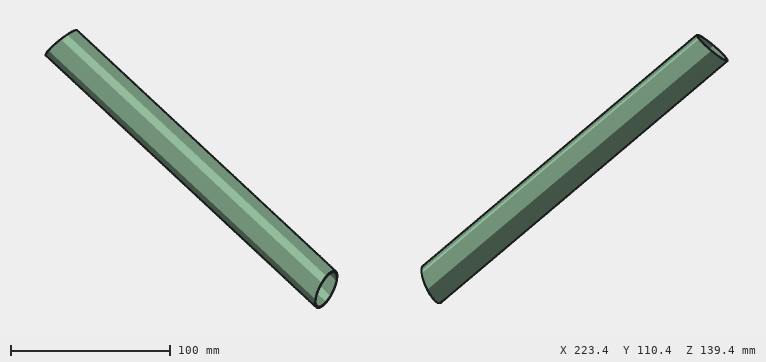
import cadquery as cq

outer_radius = 12.5
wall = 1.1

upper_end = cq.Vector(0, 0, 0)
lower_end = cq.Vector(210.0, -84.9, -118.0)

upper_normal = cq.Vector(-0.7, 0.11, 0.71)
lower_normal = cq.Vector(0.95, -0.13, -0.3)

overrun = 3 * outer_radius
cutter_size = 12 * outer_radius

axis = (lower_end - upper_end).normalized()
blank_start = upper_end - axis * overrun
blank_length = (lower_end - upper_end).Length + 2 * overrun


def tube_blank():
    """Square-ended tube, longer than the finished part."""
    section = cq.Plane(origin=blank_start, normal=axis)
    return (
        cq.Workplane(section)
        .circle(outer_radius)
        .circle(outer_radius - wall)
        .extrude(blank_length)
    )


def mitre_cutter(centre, outward_normal):
    """Block lying on the waste side of an end face."""
    face = cq.Plane(origin=centre, normal=outward_normal)
    return cq.Workplane(face).rect(cutter_size, cutter_size).extrude(cutter_size)


result = (
    tube_blank()
    .cut(mitre_cutter(upper_end, upper_normal))
    .cut(mitre_cutter(lower_end, lower_normal))
)